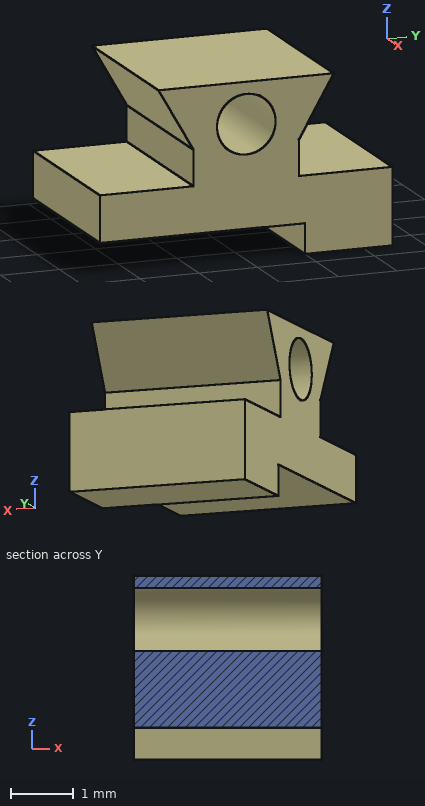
import cadquery as cq
import math

width = 3.0
length = 5.0

base_top = 1.3
step_height = 0.51
step_length = 1.5

neck_length = 1.8
neck_height = 0.6
dovetail_length = 3.0
dovetail_angle = 60.0

hole_diameter = 1.0
hole_depth_below_top = 0.7

half_length = length / 2
half_neck = neck_length / 2
half_dovetail = dovetail_length / 2
neck_top = base_top + neck_height
flank_height = (half_dovetail - half_neck) * math.tan(math.radians(dovetail_angle))
total_height = neck_top + flank_height
step_edge = half_length - step_length

profile = [
    (half_length, 0),
    (half_length, base_top),
    (half_neck, base_top),
    (half_neck, neck_top),
    (half_dovetail, total_height),
    (-half_dovetail, total_height),
    (-half_neck, neck_top),
    (-half_neck, base_top),
    (-half_length, base_top),
    (-half_length, step_height),
    (step_edge, step_height),
    (step_edge, 0),
]
body = cq.Workplane("YZ").polyline(profile).close().extrude(width / 2, both=True)

hole = (
    cq.Workplane("YZ")
    .center(0, total_height - hole_depth_below_top)
    .circle(hole_diameter / 2)
    .extrude(width / 2, both=True)
)

result = body.cut(hole)